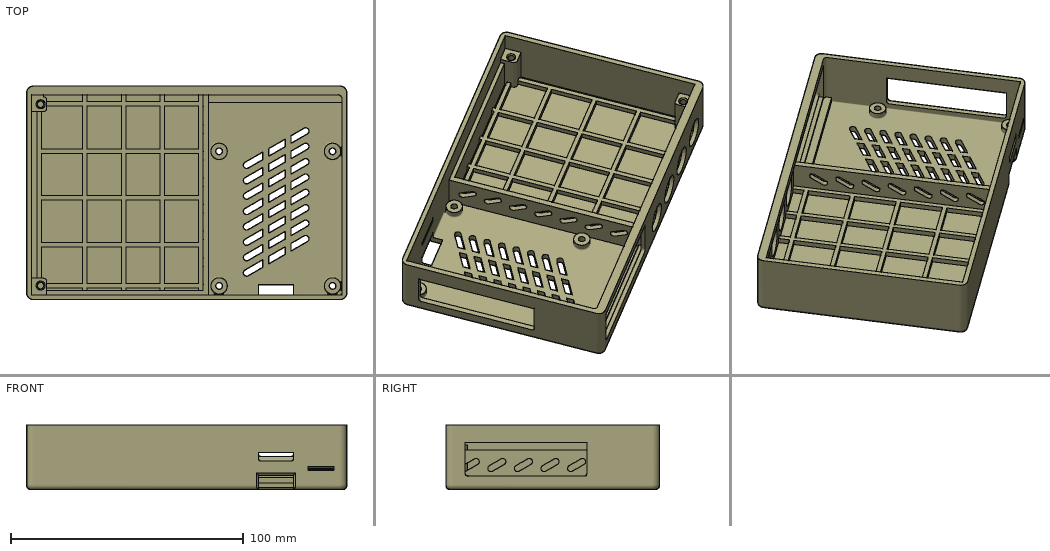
import cadquery as cq
import math

LENGTH = 138.0
WIDTH = 92.0
HEIGHT = 27.9
SIDE_WALL = 2.2
FRONT_WALL = 2.1
FLOOR = 2.9
CORNER_RADIUS = 3.0
BOTTOM_FILLET = 2.0
BASE_FILLET = 0.4

LIP_WIDTH = 3.9
LIP_HEIGHT = 3.9
REAR_WALL = 2.0
LIP_BOTTOM = HEIGHT - LIP_HEIGHT
LIP_Y = WIDTH - LIP_WIDTH
REAR_Y = WIDTH - REAR_WALL
JAMB_RADIUS = 1.5

DIVIDER_X = 76.0
DIVIDER_THICKNESS = 2.3
DIVIDER_TOP = 17.1
SLIT_COUNT = 7
SLIT_PITCH = 11.5
SLIT_LENGTH = 8.5
SLIT_WIDTH = 2.8
SLIT_ANGLE = 30.0
SLIT_ROW_Y = 44.8
SLIT_Z = 10.6
BAY_X = DIVIDER_X + DIVIDER_THICKNESS
RIGHT_X = LENGTH - SIDE_WALL

RIB = 2.0
RIB_TOP = 5.2
RIB_X = (4.5, 24.2, 41.0, 57.4, DIVIDER_X - RIB)
RIB_Y = (5.0, 22.6, 42.9, 63.0, 83.4)

SHELF_WIDTH = 1.8

FRONT_BOSS_END = 9.2
REAR_BOSS_FRONT = 81.0
REAR_BOSS_END = 87.4
BOSS_RIGHT = 8.7
BOSS_TOP = 19.3
BOSS_RADIUS = 1.4
BOSS_HOLE = 2.8
BOSS_HOLE_X = 6.1
BOSS_HOLE_Y = (6.1, 84.2)
BOSS_HOLE_DEPTH = 8.3
BOSS_SINK = 3.9

PORT_DIAMETER = 12.4
PORT_COUNT = 4
PORT_PITCH = 16.8
PORT_FIRST_X = 14.8
PORT_Z = 11.2

REAR_WINDOW_LEFT = 81.0
REAR_WINDOW_RIGHT = RIGHT_X - JAMB_RADIUS
REAR_WINDOW_BOTTOM = 6.5
SIDE_WINDOW_FRONT = 8.3
SIDE_WINDOW_REAR = 60.7
SIDE_WINDOW_BOTTOM = 5.8
SIDE_WINDOW_TOP = 20.3
WINDOW_RADIUS = 1.4

LEDGE_Y = 84.9
LEDGE_TOP = RIB_TOP
SILL_TOP = 6.2

POST_X = (83.0, 131.8)
POST_Y = (6.0, 63.9)
POST_DIAMETER = 7.0
POST_FLARE = 0.5
POST_HEIGHT = 3.2
POST_HOLE = 2.8

VENT_ROWS = 8
VENT_PITCH = 6.6
VENT_WIDTH = 2.8
VENT_ANGLE = 30.0
VENT_LEFT = 93.4
VENT_RIGHT = 121.6
VENT_REAR_Y = 65.3
VENT_BARS = ((101.7, 104.3), (111.4, 114.0))

NOTCH_LEFT = 99.9
NOTCH_RIGHT = 115.0
NOTCH_TOP = 6.2
NOTCH_REAR = 6.3
NOTCH_FLARE = 1.0

CARD_SLOT_BOTTOM = 12.4
CARD_SLOT_TOP = 16.0
CARD_SLOT_RISE = 2.0
CARD_SLOT_RADIUS = 0.8
THIN_SLIT_LEFT = 121.3
THIN_SLIT_RIGHT = 132.3
THIN_SLIT_BOTTOM = 8.4
THIN_SLIT_TOP = 10.1
THIN_SLIT_DROP = 1.1


def block(x0, x1, y0, y1, z0, z1):
    """Box between opposite corners."""
    return cq.Workplane("XY").box(x1 - x0, y1 - y0, z1 - z0, centered=False).translate((x0, y0, z0))


def side_prism(points, x0, x1):
    """(Y, Z) outline extruded from x0 to x1."""
    return cq.Workplane("YZ", origin=(x0, 0, 0)).polyline(points).close().extrude(x1 - x0)


def make_shell():
    shell = block(0, LENGTH, 0, WIDTH, 0, HEIGHT).edges("|Z").fillet(CORNER_RADIUS)
    shell = shell.faces("<Z").edges().fillet(BOTTOM_FILLET)
    tray = block(SIDE_WALL, DIVIDER_X, FRONT_WALL, LIP_Y, FLOOR, HEIGHT)
    tray_recess = block(SIDE_WALL, DIVIDER_X, FRONT_WALL, REAR_Y, FLOOR, LIP_BOTTOM)
    bay = block(BAY_X, RIGHT_X, FRONT_WALL, LIP_Y, FLOOR, HEIGHT)
    bay = bay.edges("|Z and >X and >Y").fillet(JAMB_RADIUS)
    bay = bay.faces("<Z").edges("<Y or (>X and |Y)").fillet(BASE_FILLET)
    bay_recess = block(BAY_X, REAR_WINDOW_RIGHT, LEDGE_Y, REAR_Y, SILL_TOP, LIP_BOTTOM)
    above_divider = block(DIVIDER_X, BAY_X, FRONT_WALL, LIP_Y, DIVIDER_TOP, HEIGHT)
    recess_above_divider = block(DIVIDER_X, BAY_X, FRONT_WALL, REAR_Y, DIVIDER_TOP, LIP_BOTTOM)
    for cavity in (tray, tray_recess, bay, bay_recess, above_divider, recess_above_divider):
        shell = shell.cut(cavity)
    return shell


def make_divider_slits():
    first_y = SLIT_ROW_Y - (SLIT_COUNT - 1) / 2 * SLIT_PITCH
    places = [(first_y + i * SLIT_PITCH, SLIT_Z) for i in range(SLIT_COUNT)]
    plane = cq.Workplane("YZ", origin=(DIVIDER_X, 0, 0))
    return plane.pushPoints(places).slot2D(SLIT_LENGTH, SLIT_WIDTH, SLIT_ANGLE).extrude(DIVIDER_THICKNESS)


def make_ribs():
    ribs = cq.Workplane("XY")
    for x in RIB_X:
        ribs = ribs.union(block(x, x + RIB, FRONT_WALL, REAR_Y, FLOOR, RIB_TOP))
    for y in RIB_Y:
        ribs = ribs.union(block(RIB_X[0], DIVIDER_X, y, y + RIB, FLOOR, RIB_TOP))
    return ribs


def make_front_shelf():
    return block(SIDE_WALL, DIVIDER_X, FRONT_WALL, FRONT_WALL + SHELF_WIDTH, FLOOR, DIVIDER_TOP)


def make_rear_ledge():
    return block(BAY_X, RIGHT_X, LEDGE_Y, LIP_Y, FLOOR, LEDGE_TOP)


def make_bosses():
    front = block(SIDE_WALL, BOSS_RIGHT, FRONT_WALL, FRONT_BOSS_END, FLOOR, BOSS_TOP)
    front = front.edges("|Z and >X and >Y").fillet(BOSS_RADIUS)
    rear = block(SIDE_WALL, BOSS_RIGHT, REAR_BOSS_FRONT, REAR_BOSS_END, FLOOR, BOSS_TOP)
    rear = rear.edges("|Z and >X").fillet(BOSS_RADIUS)
    web = block(SIDE_WALL, BOSS_RIGHT - BOSS_RADIUS, REAR_BOSS_END, REAR_Y, FLOOR, BOSS_TOP)
    return front.union(rear).union(web)


def make_boss_holes():
    """Blind screw holes with a countersunk mouth."""
    hole_radius = BOSS_HOLE / 2
    sink_radius = BOSS_SINK / 2
    bottom = BOSS_TOP - BOSS_HOLE_DEPTH
    sink_bottom = BOSS_TOP - (sink_radius - hole_radius)
    outline = [
        (0, bottom),
        (hole_radius, bottom),
        (hole_radius, sink_bottom),
        (sink_radius, BOSS_TOP),
        (0, BOSS_TOP),
    ]
    hole = cq.Workplane("XZ").polyline(outline).close().revolve(360, (0, 0, 0), (0, 1, 0))
    front, rear = (hole.translate((BOSS_HOLE_X, y, 0)) for y in BOSS_HOLE_Y)
    return front.union(rear)


def make_posts():
    """Board posts with a concave flare at the foot, trimmed to the bay."""
    radius = POST_DIAMETER / 2
    arc_middle = POST_FLARE * (1 - math.sqrt(0.5))
    profile = (
        cq.Workplane("XZ")
        .lineTo(radius + POST_FLARE, 0)
        .threePointArc((radius + arc_middle, arc_middle), (radius, POST_FLARE))
        .lineTo(radius, POST_HEIGHT)
        .lineTo(0, POST_HEIGHT)
        .close()
    )
    post = profile.revolve(360, (0, 0, 0), (0, 1, 0))
    posts = cq.Workplane("XY")
    for x in POST_X:
        for y in POST_Y:
            posts = posts.union(post.translate((x, y, FLOOR)))
    return posts.intersect(block(DIVIDER_X, LENGTH, 0, WIDTH, FLOOR, HEIGHT))


def make_post_holes():
    places = [(x, y) for x in POST_X for y in POST_Y]
    return cq.Workplane("XY").pushPoints(places).circle(POST_HOLE / 2).extrude(FLOOR + POST_HEIGHT)


def make_vents():
    run = VENT_RIGHT - VENT_LEFT - VENT_WIDTH
    slot_length = run / math.cos(math.radians(VENT_ANGLE)) + VENT_WIDTH
    middle_x = (VENT_LEFT + VENT_RIGHT) / 2
    places = [(middle_x, VENT_REAR_Y - i * VENT_PITCH) for i in range(VENT_ROWS)]
    vents = cq.Workplane("XY").pushPoints(places).slot2D(slot_length, VENT_WIDTH, VENT_ANGLE).extrude(FLOOR)
    for left, right in VENT_BARS:
        vents = vents.cut(block(left, right, 0, WIDTH, 0, FLOOR))
    return vents


def make_ports():
    places = [(PORT_FIRST_X + i * PORT_PITCH, PORT_Z) for i in range(PORT_COUNT)]
    plane = cq.Workplane("XZ", origin=(0, WIDTH, 0))
    return plane.pushPoints(places).circle(PORT_DIAMETER / 2).extrude(REAR_WALL)


def make_rear_window():
    window = block(REAR_WINDOW_LEFT, REAR_WINDOW_RIGHT, REAR_Y, WIDTH, REAR_WINDOW_BOTTOM, LIP_BOTTOM)
    return window.edges("|Y and <Z").fillet(WINDOW_RADIUS)


def make_side_window():
    window = block(
        RIGHT_X, LENGTH, SIDE_WINDOW_FRONT, SIDE_WINDOW_REAR, SIDE_WINDOW_BOTTOM, SIDE_WINDOW_TOP
    )
    return window.edges("|X and <Z").fillet(WINDOW_RADIUS)


def make_notch():
    """Notch whose mouth flares on the front and whose rear edge is chamfered underneath."""
    notch = block(NOTCH_LEFT, NOTCH_RIGHT, 0, NOTCH_REAR, 0, NOTCH_TOP)
    mouth_width = NOTCH_RIGHT - NOTCH_LEFT + 2 * NOTCH_FLARE
    mouth_height = 2 * (NOTCH_TOP + NOTCH_FLARE)
    mouth = (
        cq.Workplane("XZ")
        .center((NOTCH_LEFT + NOTCH_RIGHT) / 2, 0)
        .rect(mouth_width, mouth_height)
        .extrude(-NOTCH_FLARE, taper=45)
    )
    rear_chamfer = side_prism(
        [(NOTCH_REAR, 0), (NOTCH_REAR + NOTCH_FLARE, 0), (NOTCH_REAR, NOTCH_FLARE)], NOTCH_LEFT, NOTCH_RIGHT
    )
    return notch.union(mouth).union(rear_chamfer)


def make_card_slot():
    """Slot whose round-cornered floor climbs toward the inside."""
    outline = [
        (0, CARD_SLOT_BOTTOM),
        (FRONT_WALL, CARD_SLOT_BOTTOM + CARD_SLOT_RISE),
        (FRONT_WALL, CARD_SLOT_TOP),
        (0, CARD_SLOT_TOP),
    ]
    slot = side_prism(outline, NOTCH_LEFT, NOTCH_RIGHT)
    return slot.faces("<Z").edges("not |X").fillet(CARD_SLOT_RADIUS)


def make_thin_slit():
    """Slit whose roof drops toward the inside."""
    outline = [
        (0, THIN_SLIT_BOTTOM),
        (FRONT_WALL, THIN_SLIT_BOTTOM),
        (FRONT_WALL, THIN_SLIT_TOP - THIN_SLIT_DROP),
        (0, THIN_SLIT_TOP),
    ]
    return side_prism(outline, THIN_SLIT_LEFT, THIN_SLIT_RIGHT)


result = make_shell()
for added in (make_ribs(), make_front_shelf(), make_rear_ledge(), make_bosses(), make_posts()):
    result = result.union(added)

openings = (
    make_divider_slits(),
    make_boss_holes(),
    make_post_holes(),
    make_vents(),
    make_ports(),
    make_rear_window(),
    make_side_window(),
    make_notch(),
    make_card_slot(),
    make_thin_slit(),
)
for opening in openings:
    result = result.cut(opening)